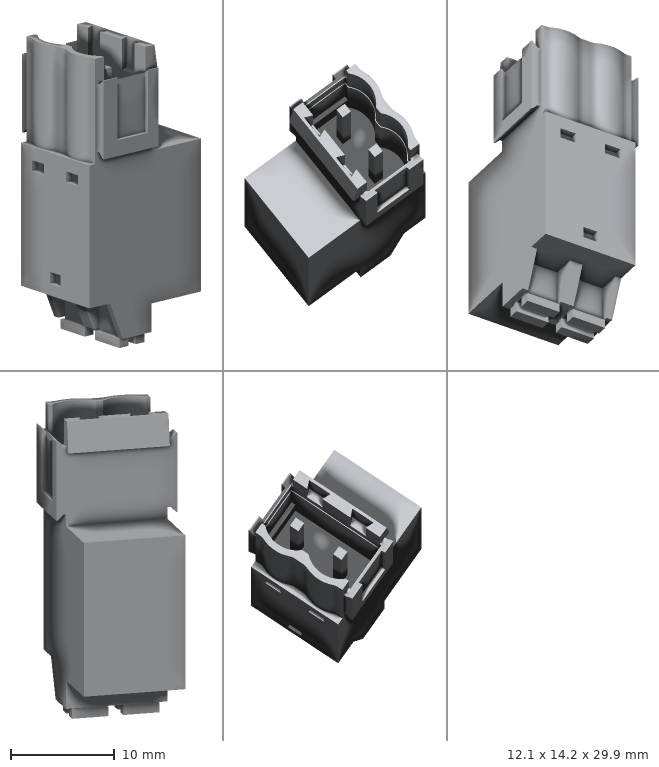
import cadquery as cq
import math


total_height = 29.93
total_width = 12.12
pole_pitch = 5.05
pole_y = 4.1
pole_xs = [-pole_pitch / 2, pole_pitch / 2]

block_width = 10.18
block_half = block_width / 2
block_depth = 14.2
block_front_z = 5.0
block_rear_z = 3.98
shoulder_z = 19.35

foot_bottom_z = 1.1
foot_rear_y = 7.87
foot_front_y = 4.25
foot_slope_start_y = 2.6

shroud_front_y = 0.72
shroud_rear_y = 7.95
cavity_front_y = 1.92
cavity_rear_y = 7.03
cavity_half_width = 5.18
floor_half_width = 4.73
ledge_z = 21.6
lip_z = 25.75
lip_step = 0.1

bulge_front_y = 0.3
bulge_radius = pole_y - bulge_front_y
bulge_half_run = 2.1
scoop_radius = 3.05

hook_tip_y = 8.75
hook_top_y = 8.25
hook_bottom_z = 26.85
keyway_rear_y = 7.95
keyway_rear_width = 2.48
keyway_front_width = 1.8

plate_front_y = 1.0
plate_bottom_z = 20.0
plate_top_z = 27.9
plate_edge = 0.12
plate_bevel = 0.57
plate_outer_x = total_width / 2
plate_inner_x = plate_outer_x - plate_edge - plate_bevel
side_recess_depth = 0.45
side_recess_front_y = 2.72
side_recess_rear_y = 6.58

window_depth = 0.78
upper_window_width = 1.77
upper_window_z = (16.9, 18.0)
lower_window_width = 1.55
lower_window_z = (6.17, 7.35)

pin_side = 1.0
pin_top_z = plate_top_z
pin_base_width = 3.17
pin_base_depth = 2.9
pin_base_thickness = 0.9

clip_pitch = 5.15
clip_xs = [-clip_pitch / 2, clip_pitch / 2]
clip_width = 3.62
clip_pocket_width = 3.75
clip_front_y = 5.0
clip_rear_y = 7.03
clip_top_z = 3.53
clip_toe = 0.57
clip_toe_height = 0.93
clip_gap_front_y = 5.55
clip_gap_rear_y = 6.5


def box(x_range, y_range, z_range):
    """Axis-aligned box from its limits along each axis."""
    return (
        cq.Workplane("XY")
        .box(
            x_range[1] - x_range[0],
            y_range[1] - y_range[0],
            z_range[1] - z_range[0],
            centered=False,
        )
        .translate((x_range[0], y_range[0], z_range[0]))
    )


def centred_box(x, width, y_range, z_range):
    """Box of a given width centred on x."""
    return box((x - width / 2, x + width / 2), y_range, z_range)


def side_profile(points, width):
    """Extrude a (Y, Z) outline symmetrically along X."""
    return cq.Workplane("YZ").polyline(points).close().extrude(width / 2, both=True)


def make_block():
    """Main block with the sloping foot under it."""
    outline = [
        (0, block_front_z),
        (foot_slope_start_y, block_front_z),
        (foot_front_y, foot_bottom_z),
        (foot_rear_y, foot_bottom_z),
        (foot_rear_y, block_rear_z),
        (block_depth, block_rear_z),
        (block_depth, shoulder_z),
        (0, shoulder_z),
    ]
    return side_profile(outline, block_width)


def make_shroud():
    """Solid shroud with a wavy front, before the cavity is cut."""
    height = total_height - shoulder_z
    drop = shroud_front_y - bulge_front_y
    half_angle = math.atan2(drop, bulge_half_run)
    angle = 2 * half_angle
    blend_radius = bulge_half_run / math.sin(angle) - bulge_radius
    join_x = bulge_radius * math.sin(angle)
    join_y = pole_y - bulge_radius * math.cos(angle)
    blend_mid_x = bulge_half_run - blend_radius * math.sin(half_angle)
    blend_mid_y = shroud_front_y - blend_radius * (1 - math.cos(half_angle))

    outline = cq.Workplane("XY").moveTo(-block_half, shroud_rear_y).lineTo(-block_half, shroud_front_y)
    for x in pole_xs:
        outline = (
            outline.lineTo(x - bulge_half_run, shroud_front_y)
            .threePointArc((x - blend_mid_x, blend_mid_y), (x - join_x, join_y))
            .threePointArc((x, bulge_front_y), (x + join_x, join_y))
            .threePointArc((x + blend_mid_x, blend_mid_y), (x + bulge_half_run, shroud_front_y))
        )
    outline = outline.lineTo(block_half, shroud_front_y).lineTo(block_half, shroud_rear_y).close()
    return outline.extrude(height).translate((0, 0, shoulder_z))


def make_latch_hook():
    """Tapered catch along the top of the rear wall."""
    outline = [
        (shroud_rear_y, hook_bottom_z),
        (hook_tip_y, hook_bottom_z),
        (hook_top_y, total_height),
        (shroud_rear_y, total_height),
    ]
    return side_profile(outline, block_width)


def make_side_plate(side):
    """Dovetail plate on one side (-1 or 1), bevelled towards the shroud, with an open recess."""
    outline = [
        (0, plate_bottom_z + plate_bevel),
        (plate_inner_x, plate_bottom_z + plate_bevel),
        (plate_outer_x - plate_edge, plate_bottom_z),
        (plate_outer_x, plate_bottom_z),
        (plate_outer_x, plate_top_z),
        (plate_outer_x - plate_edge, plate_top_z),
        (plate_inner_x, plate_top_z - plate_bevel),
        (0, plate_top_z - plate_bevel),
    ]
    plate = (
        cq.Workplane("XZ")
        .polyline(outline)
        .close()
        .extrude(plate_front_y - shroud_rear_y)
        .translate((0, plate_front_y, 0))
    )
    recess = box(
        (plate_outer_x - side_recess_depth, plate_outer_x),
        (side_recess_front_y, side_recess_rear_y),
        (ledge_z, plate_top_z),
    )
    plate = plate.cut(recess)
    return plate if side > 0 else plate.mirror("YZ")


def cavity_layer(half_width, growth, bottom_z, top_z):
    """One level of the plug cavity: a rectangle plus a round scoop in front of each pole."""
    z_range = (bottom_z, top_z)
    layer = centred_box(
        0, 2 * (half_width + growth), (cavity_front_y - growth, cavity_rear_y + growth), z_range
    )
    scoop_limit = box((-floor_half_width, floor_half_width), (0, pole_y), z_range)
    for x in pole_xs:
        scoop = (
            cq.Workplane("XY")
            .center(x, pole_y)
            .circle(scoop_radius + growth)
            .extrude(top_z - bottom_z)
            .translate((0, 0, bottom_z))
        )
        layer = layer.union(scoop.intersect(scoop_limit))
    return layer


def make_cavity():
    """Stepped plug cavity: narrow at the floor, widest above the lip."""
    floor_level = cavity_layer(floor_half_width, 0, shoulder_z, ledge_z)
    middle_level = cavity_layer(cavity_half_width, 0, ledge_z, lip_z)
    top_level = cavity_layer(cavity_half_width, lip_step, lip_z, total_height)
    return floor_level.union(middle_level).union(top_level)


def make_keyway(x):
    """Dovetail keyway cut into the cavity side of the rear wall."""
    front_y = cavity_rear_y + lip_step
    outline = [
        (x - keyway_front_width / 2, front_y),
        (x + keyway_front_width / 2, front_y),
        (x + keyway_rear_width / 2, keyway_rear_y),
        (x - keyway_rear_width / 2, keyway_rear_y),
    ]
    height = total_height - hook_bottom_z
    return cq.Workplane("XY").polyline(outline).close().extrude(height).translate((0, 0, hook_bottom_z))


def make_pin_base(x):
    """Square base of a pin, flush with the cavity floor."""
    return centred_box(
        x,
        pin_base_width,
        (pole_y - pin_base_depth / 2, pole_y + pin_base_depth / 2),
        (shoulder_z - pin_base_thickness, shoulder_z),
    )


def make_pin(x):
    """Square contact pin standing on its base."""
    shank = centred_box(
        x, pin_side, (pole_y - pin_side / 2, pole_y + pin_side / 2), (shoulder_z, pin_top_z)
    )
    return make_pin_base(x).union(shank)


def make_clip(x):
    """Release clip: a block with two legs that end in outward toes."""
    body = centred_box(x, clip_width, (clip_front_y, clip_rear_y), (0, clip_top_z))
    toes = centred_box(
        x, clip_width, (clip_front_y - clip_toe, clip_rear_y + clip_toe), (0, clip_toe_height)
    )
    gap = centred_box(x, clip_width, (clip_gap_front_y, clip_gap_rear_y), (0, foot_bottom_z))
    return body.union(toes).cut(gap)


def make_clip_pocket(x):
    """Pocket that holds a clip, with the foot in front of it cleared away."""
    seat = centred_box(x, clip_pocket_width, (clip_front_y, clip_rear_y), (foot_bottom_z, clip_top_z))
    clearance = centred_box(x, clip_pocket_width, (0, clip_front_y), (foot_bottom_z, block_front_z))
    return seat.union(clearance)


def make_housing():
    """Housing with its cavity, keyways, windows and seats for the pins and clips."""
    body = make_block().union(make_shroud()).union(make_latch_hook())
    for side in (-1, 1):
        body = body.union(make_side_plate(side))
    body = body.cut(make_cavity())
    for x in pole_xs:
        body = body.cut(make_keyway(x))
        body = body.cut(make_pin_base(x))
        body = body.cut(centred_box(x, upper_window_width, (0, window_depth), upper_window_z))
    for x in clip_xs:
        body = body.cut(make_clip_pocket(x))
    return body.cut(centred_box(0, lower_window_width, (0, window_depth), lower_window_z))


housing = make_housing()
pins = [make_pin(x) for x in pole_xs]
clips = [make_clip(x) for x in clip_xs]

result = cq.Compound.makeCompound(
    [housing.val()] + [pin.val() for pin in pins] + [clip.val() for clip in clips]
)